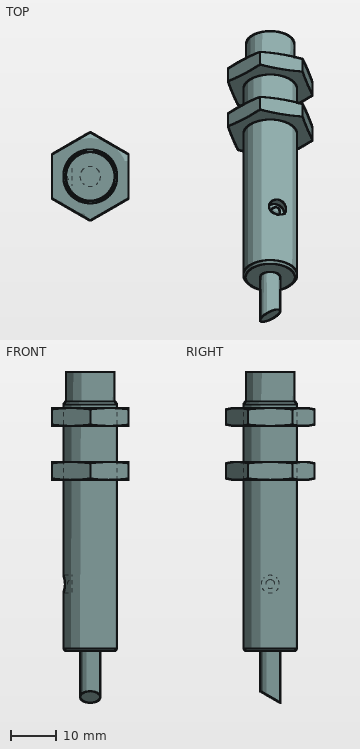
import cadquery as cq
import math

total_length = 73.4
body_diameter = 12.0
body_end_diameter = 10.95
body_chamfer_height = 0.65
head_diameter = 10.8
head_length = 6.5
barrel_bottom_depth = 61.95

cable_diameter = 4.5
cable_cut_angle = 30.0

window_diameter = 4.0
window_depth = 1.9
window_center_depth = 47.05
lamp_diameter = 2.0

nut_across_flats = 17.0
nut_thickness = 4.0
nut_face_diameter = 16.9
nut_corner_drop = 0.3
first_nut_depth = 8.0
nut_spacing = 12.0
nut_count = 2

body_radius = body_diameter / 2
body_end_radius = body_end_diameter / 2
head_radius = head_diameter / 2
body_bottom = total_length - barrel_bottom_depth
body_top = total_length - head_length
window_z = total_length - window_center_depth
window_floor_x = -body_radius + window_depth
nut_corner_radius = nut_across_flats / math.sqrt(3)


def revolve_about_z(points):
    """Turn a closed (radius, height) outline around the Z axis."""
    return cq.Workplane("XZ").polyline(points).close().revolve(360, (0, 0, 0), (0, 1, 0))


def make_barrel():
    """Barrel with chamfered ends and a plain sensing head."""
    return revolve_about_z([
        (0, body_bottom),
        (body_end_radius, body_bottom),
        (body_radius, body_bottom + body_chamfer_height),
        (body_radius, body_top - body_chamfer_height),
        (body_end_radius, body_top),
        (head_radius, body_top),
        (head_radius, total_length),
        (0, total_length),
    ])


def make_cable():
    """Cable stub cut obliquely, longest on its +Y side."""
    radius = cable_diameter / 2
    cut_rise = cable_diameter * math.tan(math.radians(cable_cut_angle))
    stub = cq.Workplane("XY").circle(radius).extrude(body_bottom)
    cut_wedge = (
        cq.Workplane("YZ")
        .polyline([(-radius, 0), (radius, 0), (-radius, cut_rise)])
        .close()
        .extrude(radius, both=True)
    )
    return stub.cut(cut_wedge)


def make_window():
    """Round flat-floored recess on the -X side."""
    return (
        cq.Workplane("YZ", origin=(window_floor_x, 0, window_z))
        .circle(window_diameter / 2)
        .extrude(-body_radius)
    )


def make_lamp():
    """Domed indicator lamp rising from the window floor."""
    return cq.Workplane("XY").sphere(lamp_diameter / 2).translate((window_floor_x, 0, window_z))


def make_sensor():
    return make_barrel().union(make_cable()).cut(make_window()).union(make_lamp())


def make_nut(bottom_z):
    """Hexagon nut with corners on the Y axis and both faces chamfered."""
    face_radius = nut_face_diameter / 2
    hexagon = (
        cq.Workplane("XY")
        .polygon(6, 2 * nut_corner_radius)
        .extrude(nut_thickness)
        .rotate((0, 0, 0), (0, 0, 1), 90)
    )
    chamfer_envelope = revolve_about_z([
        (0, 0),
        (face_radius, 0),
        (nut_corner_radius, nut_corner_drop),
        (nut_corner_radius, nut_thickness - nut_corner_drop),
        (face_radius, nut_thickness),
        (0, nut_thickness),
    ])
    bore = cq.Workplane("XY").circle(body_radius).extrude(nut_thickness)
    return hexagon.intersect(chamfer_envelope).cut(bore).translate((0, 0, bottom_z))


sensor = make_sensor()

nuts = []
for index in range(nut_count):
    nut_top = total_length - first_nut_depth - index * nut_spacing
    nuts.append(make_nut(nut_top - nut_thickness))

result = cq.Compound.makeCompound([sensor.val(), *[nut.val() for nut in nuts]])